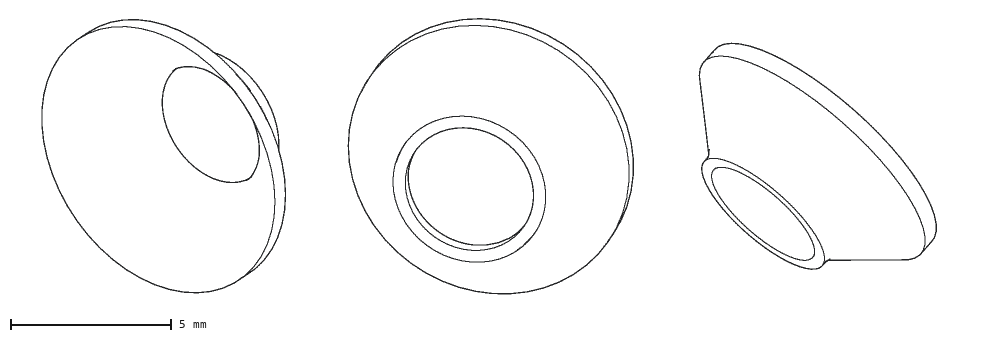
import cadquery as cq
import math

rim_diameter = 9.0
height = 3.0

bore_diameter = 4.1
neck_diameter = 4.9

cone_angle = math.radians(45)
wall = (neck_diameter - bore_diameter) / 2
rim_width = wall / math.sin(cone_angle)
bend_radius = 0.5

rim_radius = rim_diameter / 2
bore_radius = bore_diameter / 2
neck_radius = neck_diameter / 2


def cone_length(end_radius):
    """Axial distance in which the cone narrows from the rim to end_radius."""
    return (rim_radius - end_radius) / math.tan(cone_angle)


bore_start = cone_length(bore_radius)
neck_start = rim_width + cone_length(neck_radius)
half_section = (
    cq.Workplane("XY")
    .moveTo(rim_radius, 0)
    .lineTo(rim_radius, rim_width)
    .lineTo(neck_radius, neck_start)
    .lineTo(neck_radius, height)
    .lineTo(bore_radius, height)
    .lineTo(bore_radius, bore_start)
    .close()
)
cup = half_section.revolve(360, (0, 0, 0), (0, 1, 0))


def circle_edge_at(body, y, radius):
    """Select the circular edge of the given radius in the plane at y."""
    margin = wall / 4
    reach = radius + margin
    return body.edges(
        cq.selectors.BoxSelector(
            (-reach, y - margin, -reach), (reach, y + margin, reach)
        )
    )


cup = circle_edge_at(cup, neck_start, neck_radius).fillet(bend_radius)
result = circle_edge_at(cup, bore_start, bore_radius).fillet(bend_radius)